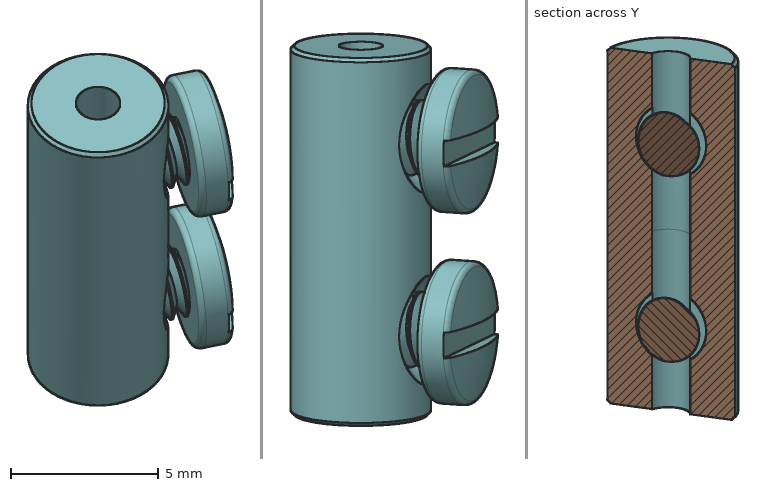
import cadquery as cq
import math

BARREL_LENGTH = 12.7
BARREL_RADIUS = 2.39
BARREL_CHAMFER = 0.13
BORE_RADIUS = 0.75

SCREW_SPACING = 6.62
SCREW_HEIGHTS = (-SCREW_SPACING / 2, SCREW_SPACING / 2)
SCREW_TIP_Y = -0.27

HEAD_RADIUS = 2.45
HEAD_GAP = 0.53
HEAD_EDGE_HEIGHT = 1.15
HEAD_DOME_RISE = 0.35
HEAD_FILLET = 0.22
HEAD_BASE_Y = BARREL_RADIUS + HEAD_GAP
HEAD_EDGE_Y = HEAD_BASE_Y + HEAD_EDGE_HEIGHT
HEAD_TOP_Y = HEAD_EDGE_Y + HEAD_DOME_RISE
SLOT_WIDTH = 0.89
SLOT_DEPTH = 0.5

THREAD_RADIUS = 1.3
THREAD_PITCH = 0.52
CREST_WIDTH = THREAD_PITCH / 8
THREAD_HALF_ANGLE = math.radians(30)
THREAD_DEPTH = (THREAD_PITCH - CREST_WIDTH) / 2 / math.tan(THREAD_HALF_ANGLE)
CREST_Y = 2.78
FLANK_STEPS = 12

SINK_RADIUS = 1.87
SINK_DEPTH = SINK_RADIUS - THREAD_RADIUS


def make_screw_hole(height):
    """Countersunk hole that clears the thread crests and ends at the screw tip."""
    sink_floor_y = BARREL_RADIUS - SINK_DEPTH
    return (
        cq.Workplane("XY")
        .moveTo(0, SCREW_TIP_Y)
        .lineTo(THREAD_RADIUS, SCREW_TIP_Y)
        .lineTo(THREAD_RADIUS, sink_floor_y)
        .lineTo(SINK_RADIUS, BARREL_RADIUS)
        .lineTo(0, BARREL_RADIUS)
        .close()
        .revolve(360, (0, 0), (0, 1))
        .translate((0, 0, height))
    )


def make_barrel():
    """Chamfered cylinder with a through bore and one countersunk hole per screw."""
    barrel = (
        cq.Workplane("XY")
        .circle(BARREL_RADIUS)
        .extrude(BARREL_LENGTH / 2, both=True)
        .edges("%CIRCLE")
        .chamfer(BARREL_CHAMFER)
    )
    bore = cq.Workplane("XY").circle(BORE_RADIUS).extrude(BARREL_LENGTH / 2, both=True)
    barrel = barrel.cut(bore)
    for height in SCREW_HEIGHTS:
        barrel = barrel.cut(make_screw_hole(height))
    return barrel


def make_head():
    """Domed slotted head with rounded rims, revolved about the Y axis."""
    dome_radius = (HEAD_RADIUS**2 + HEAD_DOME_RISE**2) / (2 * HEAD_DOME_RISE)
    dome_mid_x = HEAD_RADIUS / 2
    dome_mid_y = HEAD_TOP_Y - dome_radius + math.sqrt(dome_radius**2 - dome_mid_x**2)
    head = (
        cq.Workplane("XY")
        .moveTo(0, HEAD_BASE_Y)
        .lineTo(HEAD_RADIUS, HEAD_BASE_Y)
        .lineTo(HEAD_RADIUS, HEAD_EDGE_Y)
        .threePointArc((dome_mid_x, dome_mid_y), (0, HEAD_TOP_Y))
        .close()
        .revolve(360, (0, 0), (0, 1))
        .edges("%CIRCLE")
        .fillet(HEAD_FILLET)
    )
    slot = cq.Workplane("XY").box(2 * HEAD_RADIUS, 2 * SLOT_DEPTH, SLOT_WIDTH).translate((0, HEAD_TOP_Y, 0))
    return head.cut(slot)


def flank_point(fraction, side):
    """Point on a thread flank cut square to the axis: a spiral from crest (0) to root (1)."""
    crest_half_angle = math.pi * CREST_WIDTH / THREAD_PITCH
    angle = side * (crest_half_angle + (math.pi - crest_half_angle) * fraction)
    radius = THREAD_RADIUS - THREAD_DEPTH * fraction
    return (radius * math.cos(angle), radius * math.sin(angle))


def make_threaded_shank():
    """Single-start thread: its cross-section twisted one turn per pitch, from tip to head."""
    shank_length = HEAD_BASE_Y - SCREW_TIP_Y
    degrees_per_unit = 360 / THREAD_PITCH
    tip_crest_angle = (SCREW_TIP_Y - CREST_Y) * degrees_per_unit
    fractions = [i / FLANK_STEPS for i in range(FLANK_STEPS + 1)]

    return (
        cq.Workplane("XY")
        .moveTo(*flank_point(0, -1))
        .threePointArc((THREAD_RADIUS, 0), flank_point(0, 1))
        .spline([flank_point(fraction, 1) for fraction in fractions])
        .spline([flank_point(fraction, -1) for fraction in reversed(fractions)])
        .wire()
        .twistExtrude(shank_length, shank_length * degrees_per_unit)
        .rotate((0, 0, 0), (0, 0, 1), tip_crest_angle)
        .translate((0, 0, SCREW_TIP_Y))
        .rotate((0, 0, 0), (1, 0, 0), -90)
    )


def make_screw(height):
    """One clamping screw: slotted head and threaded shank as a single solid."""
    return make_head().union(make_threaded_shank()).translate((0, 0, height))


barrel = make_barrel()
screws = [make_screw(height) for height in SCREW_HEIGHTS]

result = cq.Compound.makeCompound([barrel.solids().val(), *[screw.solids().val() for screw in screws]])